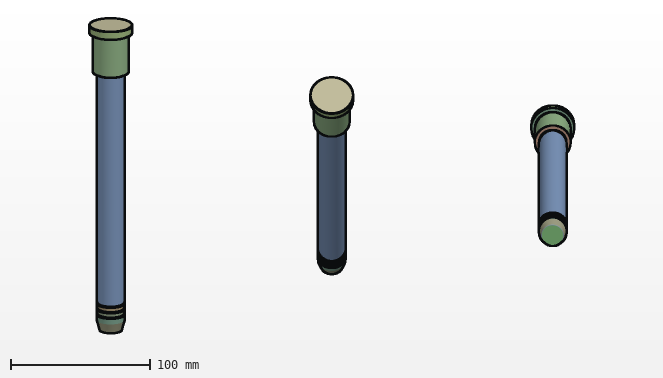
import cadquery as cq
import math

total_length = 231.0
shaft_diameter = 20.0
shaft_radius = shaft_diameter / 2

head_diameter = 31.0
head_radius = head_diameter / 2
head_height = 6.0
head_chamfer = 0.35

collar_radius = 13.0
collar_bottom = total_length - 35.5
head_relief_radius = 0.58

shaft_relief_width = 1.5
shaft_relief_depth = 0.5

groove_count = 3
groove_radius = 0.5
groove_pitch = 4.2
lowest_groove_center = 12.2

taper_height = 7.5
taper_angle = 15.0
tip_fillet = 0.5


def cylinder(radius, bottom, top):
    return cq.Workplane("XY").workplane(offset=bottom).circle(radius).extrude(top - bottom)


def cut_square_groove(body, radius, depth, bottom, width):
    """Remove a rectangular ring of the given depth from a cylinder of the given radius."""
    top = bottom + width
    ring = cylinder(radius + depth, bottom, top).cut(cylinder(radius - depth, bottom, top))
    return body.cut(ring)


def cut_round_groove(body, radius, center_height, groove_radius):
    """Cut a half-round groove into a cylinder of the given radius."""
    ring = (
        cq.Workplane("XZ")
        .center(radius, center_height)
        .circle(groove_radius)
        .revolve(360, (-radius, 0, 0), (-radius, 1, 0))
    )
    return body.cut(ring)


def make_shaft():
    tip_radius = shaft_radius - taper_height * math.tan(math.radians(taper_angle))
    shaft = (
        cq.Workplane("XZ")
        .polyline([
            (0, 0),
            (tip_radius, 0),
            (shaft_radius, taper_height),
            (shaft_radius, collar_bottom),
            (0, collar_bottom),
        ])
        .close()
        .revolve(360, (0, 0, 0), (0, 1, 0))
        .faces("<Z")
        .edges()
        .fillet(tip_fillet)
    )
    for index in range(groove_count):
        center_height = lowest_groove_center + index * groove_pitch
        shaft = cut_round_groove(shaft, shaft_radius, center_height, groove_radius)
    relief_bottom = collar_bottom - shaft_relief_width
    return cut_square_groove(shaft, shaft_radius, shaft_relief_depth, relief_bottom, shaft_relief_width)


def make_collar():
    head_bottom = total_length - head_height
    collar = cylinder(collar_radius, collar_bottom, head_bottom)
    relief_center = head_bottom - head_relief_radius
    return cut_round_groove(collar, collar_radius, relief_center, head_relief_radius)


def make_head():
    head = cylinder(head_radius, total_length - head_height, total_length)
    return head.faces(">Z").edges().chamfer(head_chamfer)


result = make_shaft().union(make_collar()).union(make_head())